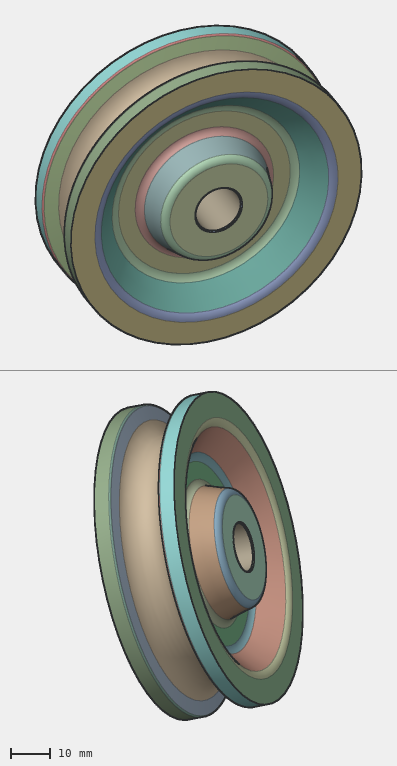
import cadquery as cq
import math

outer_radius = 40.0
rim_width = 22.0
hub_length = 25.0
bore_radius = 6.2
bore_chamfer = 0.3

groove_radius = 6.0
groove_bottom_radius = 31.0
groove_wall_angle = math.radians(10)
groove_lip_fillet = 0.5

recess_depth = 7.5
recess_mouth_radius = 32.2
recess_wall_angle = math.radians(44)
recess_fillet = 3.0
hub_top_radius = 15.0
hub_draft_angle = math.radians(16)
hub_fillet = 2.0

rim_face = rim_width / 2
hub_face = hub_length / 2
recess_floor = rim_face - recess_depth
recess_floor_radius = recess_mouth_radius - recess_depth * math.tan(recess_wall_angle)
hub_foot_radius = hub_top_radius + (hub_face - recess_floor) * math.tan(hub_draft_angle)

groove_center_radius = groove_bottom_radius + groove_radius
wall_start_x = groove_radius * math.cos(groove_wall_angle)
wall_start_radius = groove_center_radius - groove_radius * math.sin(groove_wall_angle)
lip_x = wall_start_x + (outer_radius - wall_start_radius) * math.tan(groove_wall_angle)
arc_mid_angle = (math.pi / 2 + groove_wall_angle) / 2
arc_mid_x = groove_radius * math.cos(arc_mid_angle)
arc_mid_radius = groove_center_radius - groove_radius * math.sin(arc_mid_angle)


def sharp_pulley():
    """Revolve the full section, still without rounded corners; the points are (X, radius)."""
    return (
        cq.Workplane("XZ")
        .moveTo(-hub_face, bore_radius)
        .lineTo(hub_face, bore_radius)
        .lineTo(hub_face, hub_top_radius)
        .lineTo(recess_floor, hub_foot_radius)
        .lineTo(recess_floor, recess_floor_radius)
        .lineTo(rim_face, recess_mouth_radius)
        .lineTo(rim_face, outer_radius)
        .lineTo(lip_x, outer_radius)
        .lineTo(wall_start_x, wall_start_radius)
        .threePointArc((arc_mid_x, arc_mid_radius), (0, groove_bottom_radius))
        .threePointArc((-arc_mid_x, arc_mid_radius), (-wall_start_x, wall_start_radius))
        .lineTo(-lip_x, outer_radius)
        .lineTo(-rim_face, outer_radius)
        .lineTo(-rim_face, recess_mouth_radius)
        .lineTo(-recess_floor, recess_floor_radius)
        .lineTo(-recess_floor, hub_foot_radius)
        .lineTo(-hub_face, hub_top_radius)
        .close()
        .revolve(360, (0, 0, 0), (1, 0, 0))
    )


def circles_at(body, x, radius):
    """Select the pair of circular edges of the given radius at +x and -x."""
    tolerance = 0.01

    def matches(edge):
        return (
            edge.geomType() == "CIRCLE"
            and abs(abs(edge.Center().x) - x) < tolerance
            and abs(edge.radius() - radius) < tolerance
        )

    return body.edges().filter(matches)


rounded_corners = [
    (hub_face, hub_top_radius, hub_fillet),
    (recess_floor, hub_foot_radius, hub_fillet),
    (recess_floor, recess_floor_radius, recess_fillet),
    (rim_face, recess_mouth_radius, recess_fillet),
    (lip_x, outer_radius, groove_lip_fillet),
]

result = sharp_pulley()
for corner_x, corner_radius, fillet in rounded_corners:
    result = circles_at(result, corner_x, corner_radius).fillet(fillet)
result = circles_at(result, hub_face, bore_radius).chamfer(bore_chamfer)